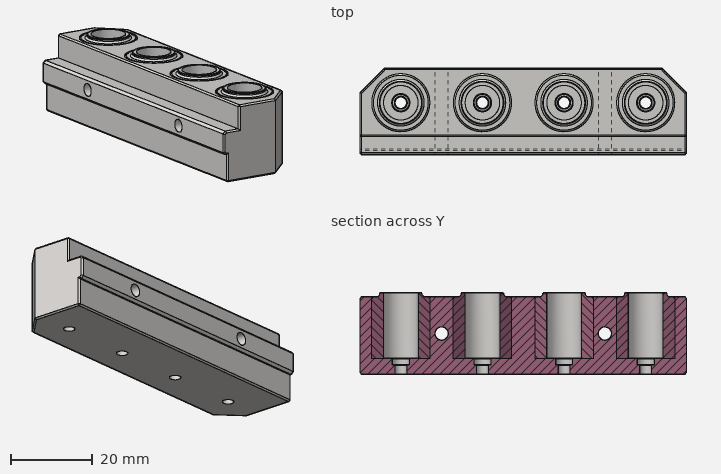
import cadquery as cq

LENGTH = 80.0
TOTAL_HEIGHT = 20.0
BLOCK_HEIGHT = 19.0
UPPER_DEPTH = 16.8
LOWER_DEPTH = 20.2
LEDGE_DEPTH = 21.3
LEDGE_HEIGHT = 6.0
CROSS_HOLE_Z = 10.0
LEDGE_CHAMFER = 0.6
EDGE_CHAMFER = 0.4
CORNER_CUT = 6.0

CROSS_HOLE_DIAMETER = 3.2
CROSS_HOLE_SPACING = LENGTH / 2

SLEEVE_COUNT = 4
SLEEVE_PITCH = LENGTH / SLEEVE_COUNT
SLEEVE_Y = -8.5
SLEEVE_DIAMETER = 14.2
SLEEVE_BORE = 8.5
SLEEVE_CHAMFER = 0.4
COLLAR_BASE_DIAMETER = 11.4
COLLAR_DIAMETER = 10.5
COLLAR_TAPER_HEIGHT = 0.5
COLLAR_CHAMFER = 0.2
POCKET_FLOOR = 4.0

COUNTERBORE_RIM_DIAMETER = 4.5
COUNTERBORE_DIAMETER = 4.1
COUNTERBORE_DEPTH = 1.6
DRAIN_RIM_DIAMETER = 3.2
DRAIN_DIAMETER = 2.8

SLEEVE_XS = [(i - (SLEEVE_COUNT - 1) / 2) * SLEEVE_PITCH for i in range(SLEEVE_COUNT)]


def block_blank():
    """Stepped bar with a chamfered ledge along its front."""
    ledge_bottom = CROSS_HOLE_Z - LEDGE_HEIGHT / 2
    ledge_top = CROSS_HOLE_Z + LEDGE_HEIGHT / 2
    outline = [
        (0, 0),
        (-LOWER_DEPTH, 0),
        (-LOWER_DEPTH, ledge_bottom),
        (-LEDGE_DEPTH + LEDGE_CHAMFER, ledge_bottom),
        (-LEDGE_DEPTH, ledge_bottom + LEDGE_CHAMFER),
        (-LEDGE_DEPTH, ledge_top - LEDGE_CHAMFER),
        (-LEDGE_DEPTH + LEDGE_CHAMFER, ledge_top),
        (-UPPER_DEPTH, ledge_top),
        (-UPPER_DEPTH, BLOCK_HEIGHT),
        (0, BLOCK_HEIGHT),
    ]
    bar = cq.Workplane("YZ").polyline(outline).close().extrude(LENGTH / 2, both=True)
    return bar.edges("|Z and >Y").chamfer(CORNER_CUT)


def break_edges(bar):
    """Chamfer the rims of the top, underside and ends; the tall edges of the corner cuts stay sharp."""
    corner_cut_zone = cq.selectors.BoxSelector(
        (-LENGTH, -CORNER_CUT - EDGE_CHAMFER, EDGE_CHAMFER),
        (LENGTH, EDGE_CHAMFER, BLOCK_HEIGHT - EDGE_CHAMFER),
    )
    vertical_edges = cq.selectors.ParallelDirSelector(cq.Vector(0, 0, 1))
    tall_corner_edges = cq.selectors.AndSelector(vertical_edges, corner_cut_zone)
    rims = bar.faces("<X or >X or <Z or >Z").edges(cq.selectors.InverseSelector(tall_corner_edges))
    return rims.chamfer(EDGE_CHAMFER)


def revolve_about_sleeve_axis(half_section, x):
    """Turn (radius, height) points about the vertical axis of the sleeve at x."""
    return (
        cq.Workplane("XZ", origin=(x, SLEEVE_Y, 0))
        .polyline(half_section).close().revolve(360, (0, 0), (0, 1))
    )


def make_hole_cutter(x):
    """Pocket for one sleeve together with the stepped hole under it, each step with a 45 degree rim."""
    pocket = SLEEVE_DIAMETER / 2
    counterbore_rim = COUNTERBORE_RIM_DIAMETER / 2
    counterbore = COUNTERBORE_DIAMETER / 2
    drain_rim = DRAIN_RIM_DIAMETER / 2
    drain = DRAIN_DIAMETER / 2
    step_z = POCKET_FLOOR - COUNTERBORE_DEPTH
    half_section = [
        (0, 0),
        (drain, 0),
        (drain, step_z - (drain_rim - drain)),
        (drain_rim, step_z),
        (counterbore, step_z),
        (counterbore, POCKET_FLOOR - (counterbore_rim - counterbore)),
        (counterbore_rim, POCKET_FLOOR),
        (pocket, POCKET_FLOOR),
        (pocket, BLOCK_HEIGHT),
        (0, BLOCK_HEIGHT),
    ]
    return revolve_about_sleeve_axis(half_section, x)


def make_block():
    block = break_edges(block_blank())
    for x in SLEEVE_XS:
        block = block.cut(make_hole_cutter(x))
    cross_hole_x = CROSS_HOLE_SPACING / 2
    cross_holes = (
        cq.Workplane("XZ")
        .pushPoints([(-cross_hole_x, CROSS_HOLE_Z), (cross_hole_x, CROSS_HOLE_Z)])
        .circle(CROSS_HOLE_DIAMETER / 2).extrude(LEDGE_DEPTH)
    )
    return block.cut(cross_holes)


def make_sleeve(x):
    """Tube flush with the block top at its outer rim, with a tapered collar standing above it."""
    outer = SLEEVE_DIAMETER / 2
    inner = SLEEVE_BORE / 2
    collar = COLLAR_DIAMETER / 2
    half_section = [
        (inner, POCKET_FLOOR),
        (outer, POCKET_FLOOR),
        (outer, BLOCK_HEIGHT - SLEEVE_CHAMFER),
        (outer - SLEEVE_CHAMFER, BLOCK_HEIGHT),
        (COLLAR_BASE_DIAMETER / 2, BLOCK_HEIGHT),
        (collar, BLOCK_HEIGHT + COLLAR_TAPER_HEIGHT),
        (collar, TOTAL_HEIGHT - COLLAR_CHAMFER),
        (collar - COLLAR_CHAMFER, TOTAL_HEIGHT),
        (inner, TOTAL_HEIGHT),
    ]
    return revolve_about_sleeve_axis(half_section, x)


block = make_block()
sleeves = [make_sleeve(x) for x in SLEEVE_XS]
result = cq.Compound.makeCompound([block.val(), *[sleeve.val() for sleeve in sleeves]])